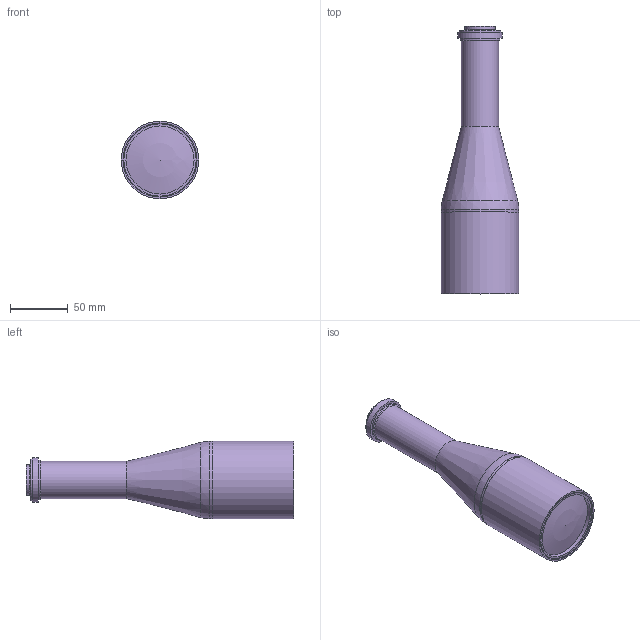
import cadquery as cq
import math


total_length = 231.31
body_radius = 33.5
tube_radius = 16.0

rim_inner_radius = 32.0
rim_chamfer_depth = 0.3
rim_recess_radius = 31.2
rim_recess_depth = 0.5
lens_radius = 29.4
lens_edge_depth = 4.1
lens_bulge = 3.0

groove_start = 70.7
groove_end = 72.7
groove_cut = 0.25

cone_angle = math.radians(14.45)
shoulder_length = 7.9

tube_end = 218.4
collar_chamfer_end = 219.1
collar_end = 220.6
collar_radius = 17.2
flange_radius = 19.4
flange_rim_end = 225.6
flange_step_radius = 18.1
flange_step_chamfer = 0.6
flange_end = 227.7

mount_neck_radius = 12.4
mount_radius = 13.2
mount_ring_length = 2.6
mount_cone_length = 0.7


def lens_profile(profile):
    """From the axis outwards along the spherical lens face."""
    sphere_radius = (lens_radius**2 + lens_bulge**2) / (2 * lens_bulge)
    apex = lens_edge_depth - lens_bulge
    half_out = lens_radius / 2
    sag = sphere_radius - math.sqrt(sphere_radius**2 - half_out**2)
    return (
        profile.moveTo(0, apex)
        .threePointArc((half_out, apex + sag), (lens_radius, lens_edge_depth))
    )


def rim_profile(profile):
    """From the lens edge forwards to the front face of the body."""
    return (
        profile.lineTo(lens_radius, rim_recess_depth)
        .lineTo(rim_recess_radius, rim_recess_depth)
        .lineTo(rim_recess_radius, rim_chamfer_depth)
        .lineTo(rim_inner_radius, 0)
        .lineTo(body_radius, 0)
    )


def body_profile(profile):
    """Along the body and its groove, the shoulder, the cone and the tube."""
    groove_radius = body_radius - groove_cut
    arc_radius = shoulder_length / math.sin(cone_angle)

    def shoulder_point(angle):
        radius = body_radius - arc_radius * (1 - math.cos(angle))
        return radius, groove_end + arc_radius * math.sin(angle)

    cone_radius, cone_start = shoulder_point(cone_angle)
    tube_start = cone_start + (cone_radius - tube_radius) / math.tan(cone_angle)
    return (
        profile.lineTo(body_radius, groove_start)
        .lineTo(groove_radius, groove_start)
        .lineTo(groove_radius, groove_end)
        .lineTo(body_radius, groove_end)
        .threePointArc(shoulder_point(cone_angle / 2), (cone_radius, cone_start))
        .lineTo(tube_radius, tube_start)
        .lineTo(tube_radius, tube_end)
    )


def flange_profile(profile):
    """Around the chamfered collar and the stepped flange."""
    return (
        profile.lineTo(collar_radius, collar_chamfer_end)
        .lineTo(collar_radius, collar_end)
        .lineTo(flange_radius, collar_end)
        .lineTo(flange_radius, flange_rim_end)
        .lineTo(flange_step_radius, flange_rim_end)
        .lineTo(flange_step_radius, flange_end - flange_step_chamfer)
        .lineTo(flange_step_radius - flange_step_chamfer, flange_end)
    )


def mount_profile(profile):
    """Along the mount neck and ring, then back to the axis."""
    ring_start = total_length - mount_ring_length
    return (
        profile.lineTo(mount_neck_radius, flange_end)
        .lineTo(mount_neck_radius, ring_start - mount_cone_length)
        .lineTo(mount_radius, ring_start)
        .lineTo(mount_radius, total_length)
        .lineTo(0, total_length)
    )


def make_barrel():
    profile = cq.Workplane("XY")
    for add_section in (lens_profile, rim_profile, body_profile, flange_profile, mount_profile):
        profile = add_section(profile)
    return profile.close().revolve(360, (0, 0, 0), (0, 1, 0))


result = make_barrel()